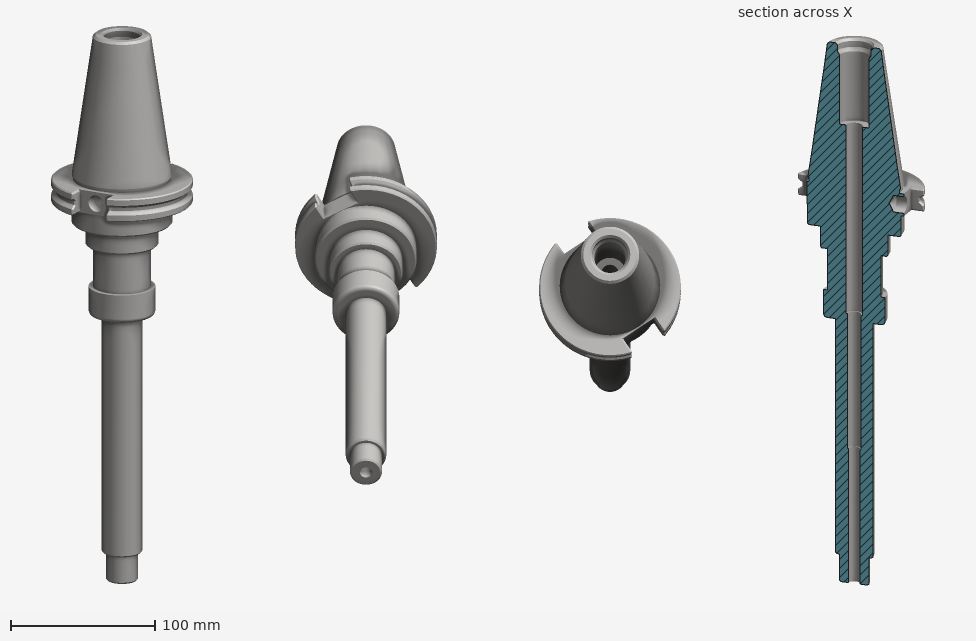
import cadquery as cq
import math

total_length = 396.0

taper_length = 101.7
flange_top_depth = 104.5
flange_bottom_depth = 121.0
shoulder_depth = 136.5
neck_ring_depth = 152.5
collar_top_depth = 182.5
collar_bottom_depth = 203.0
shaft_end_depth = 375.7

taper_large_diameter = 69.5
taper_ratio = 7 / 24
taper_small_diameter = taper_large_diameter - taper_length * taper_ratio
relief_diameter = 68.0
flange_diameter = 98.0
shoulder_diameter = 70.0
neck_ring_diameter = 50.5
neck_diameter = 40.0
collar_diameter = 46.5
shaft_diameter = 28.0
tip_diameter = 22.0

groove_floor_diameter = 92.0
groove_floor_height = 2.5
groove_mouth_height = 7.0

small_chamfer = 1.0
taper_chamfer = 1.5
flange_chamfer = 0.8
collar_fillet = 3.0

slot_width = 25.7
slot_edge_chamfer = 1.0
front_slot_floor = 37.2
back_slot_floor = 35.2
dimple_diameter = 12.0
dimple_depth = 8.0
dimple_cone_height = 3.0

mouth_diameter = 28.0
pilot_diameter = 25.0
pilot_depth = 6.0
thread_diameter = 21.8
thread_depth = 59.5
counterbore_diameter = 12.0
counterbore_depth = 198.0
feed_diameter = 10.0
feed_depth = 297.0
coolant_diameter = 8.5
thread_cone_half_angle = 30.0


def height(depth):
    """Z of a level that lies the given distance below the top face."""
    return total_length - depth


def disc(diameter, top_depth, bottom_depth):
    """Cylinder on the main axis between two levels."""
    return (
        cq.Workplane("XY", origin=(0, 0, height(bottom_depth)))
        .circle(diameter / 2)
        .extrude(bottom_depth - top_depth)
    )


def make_taper():
    profile = [
        (0, height(0)),
        (taper_small_diameter / 2, height(0)),
        (taper_large_diameter / 2, height(taper_length)),
        (0, height(taper_length)),
    ]
    taper = cq.Workplane("XZ").polyline(profile).close().revolve(360, (0, 0), (0, 1))
    return taper.faces(">Z").chamfer(taper_chamfer)


def make_body():
    """Stepped cylinders below the taper, with chamfered lower rims and a filleted collar."""
    steps = [
        (shoulder_diameter, flange_top_depth, shoulder_depth),
        (neck_ring_diameter, shoulder_depth, neck_ring_depth),
        (shaft_diameter, collar_bottom_depth, shaft_end_depth),
        (tip_diameter, shaft_end_depth, total_length),
    ]
    relief = disc(relief_diameter, taper_length, flange_top_depth)
    body = relief.union(disc(neck_diameter, neck_ring_depth, collar_top_depth))
    for diameter, top_depth, bottom_depth in steps:
        step = disc(diameter, top_depth, bottom_depth)
        body = body.union(step.faces("<Z").chamfer(small_chamfer))
    collar = disc(collar_diameter, collar_top_depth, collar_bottom_depth)
    return body.union(collar.faces("<Z").edges().fillet(collar_fillet))


def make_groove():
    middle = height((flange_top_depth + flange_bottom_depth) / 2)
    rim = flange_diameter / 2
    floor = groove_floor_diameter / 2
    profile = [
        (rim, middle + groove_mouth_height / 2),
        (floor, middle + groove_floor_height / 2),
        (floor, middle - groove_floor_height / 2),
        (rim, middle - groove_mouth_height / 2),
    ]
    return cq.Workplane("XZ").polyline(profile).close().revolve(360, (0, 0), (0, 1))


def make_slot_cutter(floor_distance, side):
    """Drive slot on the +Y (side = 1) or -Y (side = -1) half, through the flange height."""
    rim = flange_diameter / 2
    return (
        cq.Workplane("XY", origin=(0, side * (floor_distance + rim) / 2, height(flange_bottom_depth)))
        .rect(slot_width, rim - floor_distance)
        .extrude(flange_bottom_depth - flange_top_depth)
    )


def chamfer_slot_walls(flange):
    """Chamfer every edge of the slot walls except those along the slot floors."""
    past_floors = max(front_slot_floor, back_slot_floor) + slot_edge_chamfer
    wall_edges = flange.faces("|X").edges().vals()
    outer_edges = [edge for edge in wall_edges if abs(edge.Center().y) > past_floors]
    return flange.newObject(outer_edges).chamfer(slot_edge_chamfer)


def make_flange():
    flange = disc(flange_diameter, flange_top_depth, flange_bottom_depth)
    flange = flange.faces("<Z or >Z").chamfer(flange_chamfer)
    flange = flange.cut(make_groove())
    flange = flange.cut(make_slot_cutter(front_slot_floor, -1))
    flange = flange.cut(make_slot_cutter(back_slot_floor, 1))
    return chamfer_slot_walls(flange)


def make_dimple():
    """Round pocket with a conical bottom in the floor of the -Y slot."""
    radius = dimple_diameter / 2
    middle = height((flange_top_depth + flange_bottom_depth) / 2)
    profile = [
        (0, -front_slot_floor),
        (radius, -front_slot_floor),
        (radius, -front_slot_floor + dimple_depth),
        (0, -front_slot_floor + dimple_depth + dimple_cone_height),
    ]
    return (
        cq.Workplane("XY", origin=(0, 0, middle))
        .polyline(profile)
        .close()
        .revolve(360, (0, 0), (0, 1))
    )


def make_bore():
    """Stepped bore with a 45 degree lead-in and a cone down to the thread."""
    mouth_radius = mouth_diameter / 2
    pilot_radius = pilot_diameter / 2
    thread_radius = thread_diameter / 2
    cone_height = (pilot_radius - thread_radius) / math.tan(math.radians(thread_cone_half_angle))
    profile = [
        (0, height(0)),
        (mouth_radius, height(0)),
        (pilot_radius, height(mouth_radius - pilot_radius)),
        (pilot_radius, height(pilot_depth)),
        (thread_radius, height(pilot_depth + cone_height)),
        (thread_radius, height(thread_depth)),
        (0, height(thread_depth)),
    ]
    bore = cq.Workplane("XZ").polyline(profile).close().revolve(360, (0, 0), (0, 1))
    bore = bore.union(disc(counterbore_diameter, thread_depth, counterbore_depth))
    bore = bore.union(disc(feed_diameter, counterbore_depth, feed_depth))
    return bore.union(disc(coolant_diameter, feed_depth, total_length))


result = make_taper().union(make_body()).union(make_flange())
result = result.cut(make_dimple()).cut(make_bore())